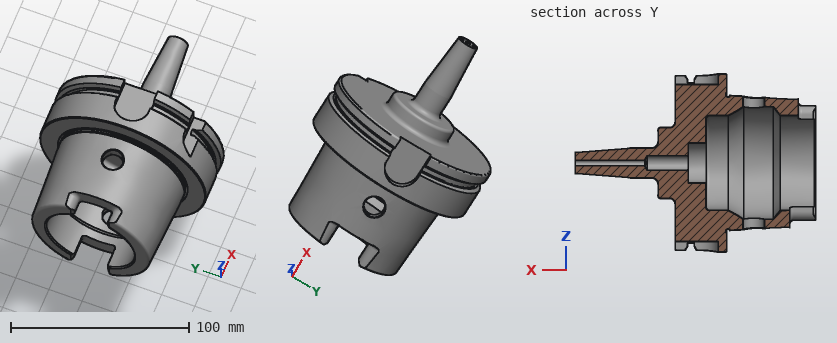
import cadquery as cq
import math

FLANGE_START = 50.0
FLANGE_END = 79.0
HUB_END = 88.5
NECK_TAPER_START = 102.9
TOTAL_LENGTH = 135.0

TAPER_RADIUS_LARGE = 75.7 / 2
TAPER_END = 48.3
TAPER_SLOPE = 1 / 20
TIP_ROUNDING = 1.8
RELIEF_RADIUS = 75.5 / 2
RELIEF_NECK_START = 48.7
RELIEF_NECK_END = 49.5
RELIEF_NECK_RADIUS = 37.1
FACE_RECESS_RADIUS = 39.2
FACE_RECESS_DEPTH = 0.4

FLANGE_RADIUS = 100.0 / 2
FLANGE_FRONT_CHAMFER = 0.5
FLANGE_BACK_ROUNDING = 1.1
GROOVE_CENTER = 70.0
GROOVE_MOUTH_WIDTH = 6.3
GROOVE_FLOOR_WIDTH = 3.6
GROOVE_NECK_RADIUS = 47.7
GROOVE_FLOOR_RADIUS = 46.0
GROOVE_ROOT_FILLET = 0.4

HUB_RADIUS = 40.0 / 2
HUB_FOOT_FILLET = 2.8
HUB_ROUNDING = 1.8
NECK_RADIUS = 17.0 / 2
NECK_FOOT_FILLET = 3.2
NOSE_RADIUS = 12.0 / 2

BORE_RADIUS = 53.0 / 2
BORE_END = 20.0
BORE_CHAMFER = 0.8
CAVITY_RADIUS = 63.0 / 2
CAVITY_CONE_LENGTH = 3.9
CAVITY_WIDE_END = 40.5
CAVITY_BACK_ANGLE = 30
CAVITY_FLOOR = 61.5
CAVITY_FLOOR_FILLET = 1.9

SOCKET_RADIUS = 22.4 / 2
SOCKET_DEPTH = 10.0
DUCT_RADIUS = 8.0 / 2
DUCT_END = 94.5
DRILL_POINT_ANGLE = 118
CENTER_BORE_RADIUS = 3.0 / 2
CHANNEL_DIAMETER = 2.0
CHANNEL_OFFSET = 3.9

KEYWAY_HALF_WIDTH = 10.0
KEYWAY_DEPTH_TOP = 9.9
KEYWAY_DEPTH_BOTTOM = 14.6
KEYWAY_LEDGE_HEIGHT = 32.1
KEYWAY_EDGE_RADIUS = 5.0
KEYWAY_FLOOR_FILLET = 2.0
KEYWAY_MOUTH_CHAMFER = 1.6

CROSS_HOLE_X = 34.8
CROSS_HOLE_DIAMETER = 12.0
CROSS_HOLE_CHAMFER = 0.4

SLOT_WIDTH = 20.0
SLOT_START = 54.8
SLOT_FLOOR = 44.0
NOTCH_FLOOR = 31.5
NOTCH_WALL = 31.5

CLEARANCE = 6.8


def revolve_about_x(profile):
    return profile.close().revolve(360, (0, 0, 0), (1, 0, 0))


def make_body():
    tip_radius = TAPER_RADIUS_LARGE - TAPER_SLOPE * TAPER_END
    groove_mouth_start = GROOVE_CENTER - GROOVE_MOUTH_WIDTH / 2
    groove_mouth_end = GROOVE_CENTER + GROOVE_MOUTH_WIDTH / 2
    groove_floor_start = GROOVE_CENTER - GROOVE_FLOOR_WIDTH / 2
    groove_floor_end = GROOVE_CENTER + GROOVE_FLOOR_WIDTH / 2
    groove_root_radius = GROOVE_FLOOR_RADIUS + GROOVE_ROOT_FILLET
    recess_end = FLANGE_START + FACE_RECESS_DEPTH
    profile = (
        cq.Workplane("XY")
        .lineTo(0, tip_radius)
        .lineTo(TAPER_END, TAPER_RADIUS_LARGE)
        .lineTo(TAPER_END, RELIEF_RADIUS)
        .lineTo(RELIEF_NECK_START, RELIEF_NECK_RADIUS)
        .lineTo(RELIEF_NECK_END, RELIEF_NECK_RADIUS)
        .lineTo(recess_end, RELIEF_RADIUS)
        .lineTo(recess_end, FACE_RECESS_RADIUS)
        .lineTo(FLANGE_START, FACE_RECESS_RADIUS)
        .lineTo(FLANGE_START, FLANGE_RADIUS - FLANGE_FRONT_CHAMFER)
        .lineTo(FLANGE_START + FLANGE_FRONT_CHAMFER, FLANGE_RADIUS)
        .lineTo(groove_mouth_start, FLANGE_RADIUS)
        .lineTo(groove_floor_start, GROOVE_NECK_RADIUS)
        .lineTo(groove_floor_start, groove_root_radius)
        .radiusArc((groove_floor_start + GROOVE_ROOT_FILLET, GROOVE_FLOOR_RADIUS), -GROOVE_ROOT_FILLET)
        .lineTo(groove_floor_end - GROOVE_ROOT_FILLET, GROOVE_FLOOR_RADIUS)
        .radiusArc((groove_floor_end, groove_root_radius), -GROOVE_ROOT_FILLET)
        .lineTo(groove_floor_end, GROOVE_NECK_RADIUS)
        .lineTo(groove_mouth_end, FLANGE_RADIUS)
        .lineTo(FLANGE_END - FLANGE_BACK_ROUNDING, FLANGE_RADIUS)
        .radiusArc((FLANGE_END, FLANGE_RADIUS - FLANGE_BACK_ROUNDING), FLANGE_BACK_ROUNDING)
        .lineTo(FLANGE_END, HUB_RADIUS + HUB_FOOT_FILLET)
        .radiusArc((FLANGE_END + HUB_FOOT_FILLET, HUB_RADIUS), -HUB_FOOT_FILLET)
        .lineTo(HUB_END - HUB_ROUNDING, HUB_RADIUS)
        .radiusArc((HUB_END, HUB_RADIUS - HUB_ROUNDING), HUB_ROUNDING)
        .lineTo(HUB_END, NECK_RADIUS + NECK_FOOT_FILLET)
        .radiusArc((HUB_END + NECK_FOOT_FILLET, NECK_RADIUS), -NECK_FOOT_FILLET)
        .lineTo(NECK_TAPER_START, NECK_RADIUS)
        .lineTo(TOTAL_LENGTH, NOSE_RADIUS)
        .lineTo(TOTAL_LENGTH, 0)
    )
    return revolve_about_x(profile).faces("<X").edges().fillet(TIP_ROUNDING)


def make_cavity():
    back_cone_length = (CAVITY_RADIUS - BORE_RADIUS) / math.tan(math.radians(CAVITY_BACK_ANGLE))
    socket_end = CAVITY_FLOOR + SOCKET_DEPTH
    half_point_angle = math.radians(DRILL_POINT_ANGLE / 2)
    duct_point_length = (DUCT_RADIUS - CENTER_BORE_RADIUS) / math.tan(half_point_angle)
    profile = (
        cq.Workplane("XY")
        .lineTo(0, BORE_RADIUS + BORE_CHAMFER)
        .lineTo(BORE_CHAMFER, BORE_RADIUS)
        .lineTo(BORE_END, BORE_RADIUS)
        .lineTo(BORE_END + CAVITY_CONE_LENGTH, CAVITY_RADIUS)
        .lineTo(CAVITY_WIDE_END, CAVITY_RADIUS)
        .lineTo(CAVITY_WIDE_END + back_cone_length, BORE_RADIUS)
        .lineTo(CAVITY_FLOOR - CAVITY_FLOOR_FILLET, BORE_RADIUS)
        .radiusArc((CAVITY_FLOOR, BORE_RADIUS - CAVITY_FLOOR_FILLET), CAVITY_FLOOR_FILLET)
        .lineTo(CAVITY_FLOOR, SOCKET_RADIUS)
        .lineTo(socket_end, SOCKET_RADIUS)
        .lineTo(socket_end, DUCT_RADIUS)
        .lineTo(DUCT_END, DUCT_RADIUS)
        .lineTo(DUCT_END + duct_point_length, CENTER_BORE_RADIUS)
        .lineTo(TOTAL_LENGTH, CENTER_BORE_RADIUS)
        .lineTo(TOTAL_LENGTH, 0)
    )
    return revolve_about_x(profile)


def make_nose_channels():
    return (
        cq.Workplane("YZ", origin=(DUCT_END, 0, 0))
        .pushPoints([(-CHANNEL_OFFSET, 0), (CHANNEL_OFFSET, 0)])
        .circle(CHANNEL_DIAMETER / 2)
        .extrude(TOTAL_LENGTH - DUCT_END)
    )


def make_keyway(depth):
    """Keyway on the +Z side: straight walls that roll over outward into level ledges."""
    wall_top = KEYWAY_LEDGE_HEIGHT - KEYWAY_EDGE_RADIUS
    ledge_start = KEYWAY_HALF_WIDTH + KEYWAY_EDGE_RADIUS
    outer_width = TAPER_RADIUS_LARGE
    outer_height = TAPER_RADIUS_LARGE + CLEARANCE
    base_height = BORE_RADIUS / 2

    section = (
        cq.Workplane("YZ", origin=(-CLEARANCE, 0, 0))
        .moveTo(-KEYWAY_HALF_WIDTH, base_height)
        .lineTo(KEYWAY_HALF_WIDTH, base_height)
        .lineTo(KEYWAY_HALF_WIDTH, wall_top)
        .radiusArc((ledge_start, KEYWAY_LEDGE_HEIGHT), KEYWAY_EDGE_RADIUS)
        .lineTo(outer_width, KEYWAY_LEDGE_HEIGHT)
        .lineTo(outer_width, outer_height)
        .lineTo(-outer_width, outer_height)
        .lineTo(-outer_width, KEYWAY_LEDGE_HEIGHT)
        .lineTo(-ledge_start, KEYWAY_LEDGE_HEIGHT)
        .radiusArc((-KEYWAY_HALF_WIDTH, wall_top), KEYWAY_EDGE_RADIUS)
        .close()
    )
    cutter = section.extrude(depth + CLEARANCE).faces(">X").edges().fillet(KEYWAY_FLOOR_FILLET)
    mouth_half_width = KEYWAY_HALF_WIDTH + KEYWAY_MOUTH_CHAMFER
    mouth = (
        cq.Workplane("XY", origin=(0, 0, base_height))
        .moveTo(-CLEARANCE, -mouth_half_width)
        .lineTo(0, -mouth_half_width)
        .lineTo(KEYWAY_MOUTH_CHAMFER, -KEYWAY_HALF_WIDTH)
        .lineTo(KEYWAY_MOUTH_CHAMFER, KEYWAY_HALF_WIDTH)
        .lineTo(0, mouth_half_width)
        .lineTo(-CLEARANCE, mouth_half_width)
        .close()
        .extrude(outer_height - base_height)
    )
    return cutter.union(mouth)


def drill_cross_hole(body):
    """Drill through the taper along Z and break the rim on both sides."""
    radius = CROSS_HOLE_DIAMETER / 2
    drill = (
        cq.Workplane("XY", origin=(CROSS_HOLE_X, 0, 0))
        .circle(radius)
        .extrude(FLANGE_RADIUS, both=True)
    )
    near_hole = cq.selectors.BoxSelector(
        (CROSS_HOLE_X - radius, -radius, -FLANGE_RADIUS),
        (CROSS_HOLE_X + radius, radius, FLANGE_RADIUS),
    )
    drilled = body.cut(drill)
    return drilled.edges("not |Z").edges(near_hole).chamfer(CROSS_HOLE_CHAMFER)


def make_flange_slot(floor, center_y):
    """Slot cut down from +Z, round at its inner end and open through the flange back."""
    radius = SLOT_WIDTH / 2
    straight_length = FLANGE_END - SLOT_START - radius
    height = FLANGE_RADIUS - floor
    start = cq.Workplane("XY", origin=(SLOT_START + radius, center_y, floor))
    straight = start.center(straight_length / 2, 0).rect(straight_length, SLOT_WIDTH).extrude(height)
    return start.circle(radius).extrude(height).union(straight)


def on_bottom(cutter):
    return cutter.rotate((0, 0, 0), (1, 0, 0), 180)


result = drill_cross_hole(make_body())
result = result.cut(make_cavity())
result = result.cut(make_nose_channels())

result = result.cut(make_keyway(KEYWAY_DEPTH_TOP))
result = result.cut(on_bottom(make_keyway(KEYWAY_DEPTH_BOTTOM)))

flange_slot = make_flange_slot(SLOT_FLOOR, 0)
result = result.cut(flange_slot).cut(on_bottom(flange_slot))

notch_center = -NOTCH_WALL - SLOT_WIDTH / 2
result = result.cut(make_flange_slot(NOTCH_FLOOR, notch_center))